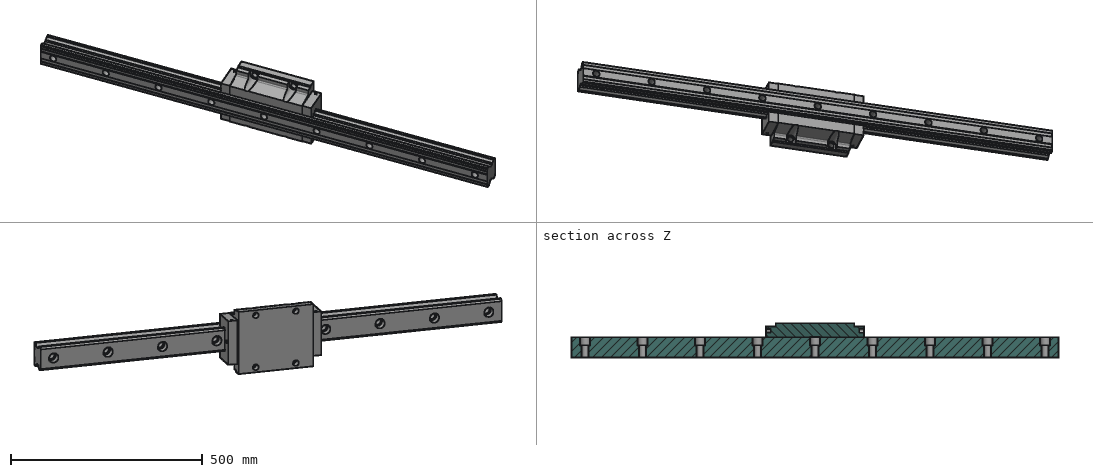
import cadquery as cq

rail_length = 1270.0
mounting_height = 90.0

rail_height = 53.0
rail_half_width = 32.0
neck_half_width = 23.0
foot_chamfer = 3.0
foot_side_top = 11.0
head_side_bottom = 41.0
neck_bottom = foot_side_top + (rail_half_width - neck_half_width)
neck_top = 30.0
head_chamfer = 5.0
raceway_outer = (40.0, 30.0)
raceway_inner = (33.0, 27.0)

groove_inner = 10.8
groove_outer = 22.0
groove_depth = 1.0

bolt_count = 9
bolt_pitch = 150.0
bolt_hole_diameter = 18.0
bolt_head_diameter = 25.0
bolt_head_depth = 22.0

block_length = 206.0
block_bottom = 13.0
flange_half_width = 85.0
flange_edge_bottom = 70.0
flange_step = 3.2
flange_draft = 1.0
flange_bottom = 55.0
body_top_half_width = 67.0
body_bottom_half_width = 60.0
flange_root_radius = 4.0

mount_spacing_x = 110.0
mount_spacing_z = 142.0
mount_hole_diameter = 15.0
spot_face_diameter = 25.0
spot_face_level = 67.0

carriage_length = 257.0
cap_top = 81.0
cap_bottom = 14.0
cap_half_width = 60.0
end_port_diameter = 8.5
end_port_level = 70.0
side_port_diameter = 5.2
side_port_level = 74.0
port_depth = 13.0


def mirrored_section(half_outline, length):
    """Prism centred on X from a list of (Y, Z) points on the +Z side, bottom to top."""
    other_half = [(y, -z) for y, z in reversed(half_outline)]
    return cq.Workplane("YZ").polyline(half_outline + other_half).close().extrude(length / 2, both=True)


def cylinder_along_y(diameter, bottom, top, x, z):
    """Upright cylinder between two Y levels."""
    start = cq.Vector(x, bottom, z)
    return cq.Workplane(cq.Solid.makeCylinder(diameter / 2, top - bottom, start, cq.Vector(0, 1, 0)))


def rail_blank():
    """Rail without its bolt holes."""
    half_outline = [
        (0, groove_inner),
        (groove_depth, groove_inner + groove_depth),
        (groove_depth, groove_outer),
        (0, groove_outer),
        (0, rail_half_width - foot_chamfer),
        (foot_chamfer, rail_half_width),
        (foot_side_top, rail_half_width),
        (neck_bottom, neck_half_width),
        (neck_top, neck_half_width),
        raceway_inner,
        raceway_outer,
        (head_side_bottom, rail_half_width),
        (rail_height - head_chamfer, rail_half_width),
        (rail_height, rail_half_width - head_chamfer),
    ]
    return mirrored_section(half_outline, rail_length)


def make_rail():
    rail = rail_blank()
    for i in range(bolt_count):
        x = (i - (bolt_count - 1) / 2) * bolt_pitch
        rail = rail.cut(cylinder_along_y(bolt_hole_diameter, 0, rail_height, x, 0))
        rail = rail.cut(cylinder_along_y(bolt_head_diameter, rail_height - bolt_head_depth, rail_height, x, 0))
    return rail


def carriage_block():
    step_bottom = flange_edge_bottom - flange_step
    step_half_width = flange_half_width - flange_step
    half_outline = [
        (block_bottom, body_bottom_half_width),
        (flange_bottom, body_top_half_width),
        (flange_bottom, step_half_width - flange_draft),
        (step_bottom, step_half_width),
        (flange_edge_bottom, flange_half_width),
        (mounting_height, flange_half_width),
    ]
    block = mirrored_section(half_outline, block_length)

    for side in (-1, 1):
        root = cq.selectors.NearestToPointSelector((0, flange_bottom, side * body_top_half_width))
        block = block.edges("|X").edges(root).fillet(flange_root_radius)

    spot_face_height = spot_face_level - block_bottom
    opening_length = flange_half_width - mount_spacing_z / 2
    for x in (-mount_spacing_x / 2, mount_spacing_x / 2):
        for side in (-1, 1):
            z = side * mount_spacing_z / 2
            opening = cq.Workplane("XY").box(spot_face_diameter, spot_face_height, opening_length)
            opening_middle = side * (flange_half_width - opening_length / 2)
            block = block.cut(opening.translate((x, block_bottom + spot_face_height / 2, opening_middle)))
            block = block.cut(cylinder_along_y(mount_hole_diameter, block_bottom, mounting_height, x, z))
            block = block.cut(cylinder_along_y(spot_face_diameter, block_bottom, spot_face_level, x, z))
    return block


def end_cap(end):
    """Cap on one end of the block: end is -1 or 1 along X."""
    cap_length = (carriage_length - block_length) / 2
    cap_middle = end * (block_length + cap_length) / 2
    cap_height = cap_top - cap_bottom
    cap = cq.Workplane("XY").box(cap_length, cap_height, 2 * cap_half_width)
    cap = cap.translate((cap_middle, cap_bottom + cap_height / 2, 0))

    end_face = cq.Vector(end * carriage_length / 2, end_port_level, 0)
    inward = cq.Vector(-end, 0, 0)
    cap = cap.cut(cq.Workplane(cq.Solid.makeCylinder(end_port_diameter / 2, port_depth, end_face, inward)))

    for side in (-1, 1):
        side_face = cq.Vector(cap_middle, side_port_level, side * cap_half_width)
        inward = cq.Vector(0, 0, -side)
        cap = cap.cut(cq.Workplane(cq.Solid.makeCylinder(side_port_diameter / 2, port_depth, side_face, inward)))
    return cap


def make_carriage():
    carriage = carriage_block().union(end_cap(-1)).union(end_cap(1))
    return carriage.cut(rail_blank())


rail = make_rail()
carriage = make_carriage()

result = cq.Compound.makeCompound([rail.val(), carriage.val()])